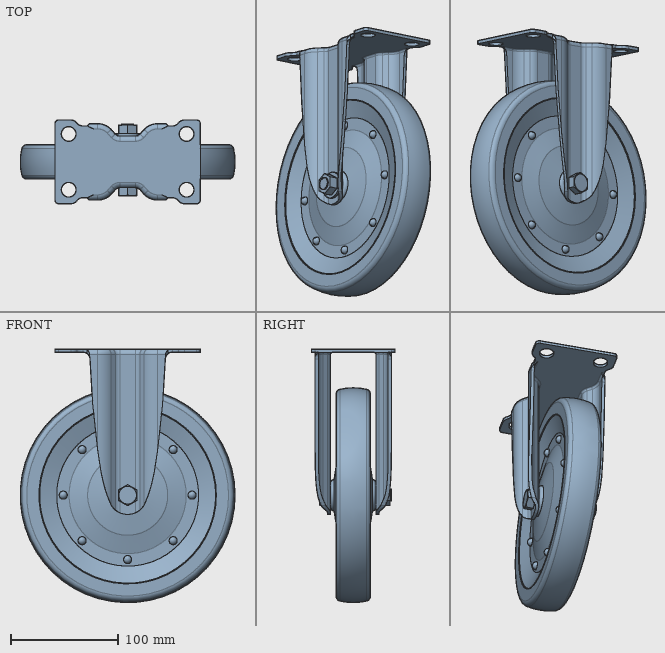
import cadquery as cq
import math


WHEEL_R = 100.0
TREAD_EDGE_R = 98.5
SIDE_R = 93.9
RIM_R = 82.5
RIM_LAND = 0.7
WEB_OUTER_R = 66.0
WEB_INNER_R = 54.5
DOME_R = 37.3
HUB_R = 14.6
TREAD_EDGE_Y = 12.5
SIDE_Y = 16.0
WEB_Y = 9.7
DOME_Y = 14.5
DOME_TOP_Y = 18.0
RIVET_COUNT = 8
RIVET_CIRCLE_R = 60.0
RIVET_R = 3.8

SHEET = 3.0
OVERALL_HEIGHT = 235.9
TOP_Z = OVERALL_HEIGHT - WHEEL_R
PLATE_LENGTH = 135.5
PLATE_WIDTH = 78.0
PLATE_CORNER_R = 3.5
HOLE_PITCH_X = 109.7
HOLE_PITCH_Y = 52.0
HOLE_D = 13.5
TAB_CURVE_X = 52.8
NOTCH_OUTER_X = 41.7
NOTCH_INNER_X = 37.7
NOTCH_Y = 33.5
FOLD_END_X = 31.8
NOTCH_TOP_X = 35.4
FOLD_R = 5.0
CHANNEL_Y = 24.0
FLANGE_Y = 35.5
CHANNEL_HALF = 7.0
CHANNEL_BEND_R = 6.0
FLANGE_BEND_R = 17.2
BEND_ANGLE = math.radians(47)
LEG_TOP_HALF = 35.1
LEG_FLARE_R = 6.1
LEG_TIP_R = 18.0
LEG_TIP_Z = -9.7
LEG_EDGE = [(19.0, 0), (28.0, 43.5), (33.3, 94.3)]

AXLE_R = 5.7
HEX_SIDES = 6
HEX_FLATS = 17.0
HEX_CORNER_R = HEX_FLATS / math.sqrt(3)
HEAD_HEIGHT = 7.5
HEAD_FACE_R = 8.3
HEAD_CHAMFER = 0.7
NUT_HEIGHT = 8.0
WASHER_R = 12.3
WASHER_HEIGHT = 2.1
AXLE_TIP = 1.2


def along_y(y):
    """Workplane facing +Y at the given Y; its local X runs along -X."""
    return cq.Workplane("XZ", origin=(0, y, 0)).transformed(rotate=(0, 180, 0))


def make_wheel():
    dy, dr = SIDE_Y - TREAD_EDGE_Y, TREAD_EDGE_R - SIDE_R
    shoulder_r = (dy ** 2 + dr ** 2) / (2 * dy)
    sweep = math.asin(dr / shoulder_r) / 2
    mid_y = SIDE_Y - shoulder_r * (1 - math.cos(sweep))
    mid_r = SIDE_R + shoulder_r * math.sin(sweep)
    hub_y = CHANNEL_Y - SHEET
    hub_round = hub_y - DOME_TOP_Y

    section = (
        cq.Workplane("XY")
        .moveTo(AXLE_R, -hub_y)
        .lineTo(AXLE_R, hub_y)
        .lineTo(HUB_R - hub_round, hub_y)
        .radiusArc((HUB_R, DOME_TOP_Y), hub_round)
        .lineTo(DOME_R, DOME_Y)
        .lineTo(WEB_INNER_R, WEB_Y)
        .lineTo(WEB_OUTER_R, WEB_Y)
        .lineTo(RIM_R - RIM_LAND, SIDE_Y - RIM_LAND)
        .lineTo(RIM_R, SIDE_Y - RIM_LAND)
        .lineTo(RIM_R, SIDE_Y)
        .lineTo(SIDE_R, SIDE_Y)
        .threePointArc((mid_r, mid_y), (TREAD_EDGE_R, TREAD_EDGE_Y))
        .threePointArc((WHEEL_R, 0), (TREAD_EDGE_R, -TREAD_EDGE_Y))
        .threePointArc((mid_r, -mid_y), (SIDE_R, -SIDE_Y))
        .lineTo(RIM_R, -SIDE_Y)
        .lineTo(RIM_R, RIM_LAND - SIDE_Y)
        .lineTo(RIM_R - RIM_LAND, RIM_LAND - SIDE_Y)
        .lineTo(WEB_OUTER_R, -WEB_Y)
        .lineTo(WEB_INNER_R, -WEB_Y)
        .lineTo(DOME_R, -DOME_Y)
        .lineTo(HUB_R, -DOME_TOP_Y)
        .radiusArc((HUB_R - hub_round, -hub_y), hub_round)
        .close()
    )
    wheel = section.revolve(360, (0, 0, 0), (0, 1, 0))

    for i in range(RIVET_COUNT):
        angle = 2 * math.pi * i / RIVET_COUNT
        x, z = RIVET_CIRCLE_R * math.cos(angle), RIVET_CIRCLE_R * math.sin(angle)
        for y in (-WEB_Y, WEB_Y):
            wheel = wheel.union(cq.Workplane("XY").sphere(RIVET_R).translate((x, y, z)))
    return wheel


def hood(inset):
    """Block with the pressed leg section as its long sides, its upper long edges rounded."""
    sin_a, cos_a = math.sin(BEND_ANGLE), math.cos(BEND_ANGLE)
    channel_r, flange_r = CHANNEL_BEND_R + inset, FLANGE_BEND_R - inset
    slant_rise = FLANGE_Y - CHANNEL_Y - (CHANNEL_BEND_R + FLANGE_BEND_R) * (1 - cos_a)
    channel_x, channel_y = CHANNEL_HALF, CHANNEL_Y + CHANNEL_BEND_R
    flange_x = channel_x + (CHANNEL_BEND_R + FLANGE_BEND_R) * sin_a + slant_rise / math.tan(BEND_ANGLE)
    flange_y = FLANGE_Y - FLANGE_BEND_R
    end_x, bottom_z = PLATE_LENGTH / 2, -LEG_TIP_R
    block = (
        cq.Workplane("XY", origin=(0, 0, bottom_z))
        .moveTo(0, 0)
        .lineTo(0, CHANNEL_Y - inset)
        .lineTo(channel_x, CHANNEL_Y - inset)
        .radiusArc((channel_x + channel_r * sin_a, channel_y - channel_r * cos_a), -channel_r)
        .lineTo(flange_x - flange_r * sin_a, flange_y + flange_r * cos_a)
        .radiusArc((flange_x, FLANGE_Y - inset), flange_r)
        .lineTo(end_x, FLANGE_Y - inset)
        .lineTo(end_x, 0)
        .close()
        .extrude(TOP_Z - inset - bottom_z)
    )
    block = block.union(block.mirror("YZ"))
    block = block.union(block.mirror("XZ")).clean()
    return block.faces(">Z").edges("not |Y").fillet(FOLD_R - inset)


def leg_silhouette():
    """Prism along Y bounding both legs as seen from the side of the wheel."""
    plate_z = TOP_Z - SHEET
    tip_x = math.sqrt(LEG_TIP_R ** 2 - LEG_TIP_Z ** 2)
    flare_z = plate_z - LEG_FLARE_R
    half = (
        cq.Workplane("XZ", origin=(0, PLATE_WIDTH, 0))
        .moveTo(0, -LEG_TIP_R)
        .radiusArc((tip_x, LEG_TIP_Z), -LEG_TIP_R)
        .spline(LEG_EDGE + [(LEG_TOP_HALF, flare_z)], includeCurrent=True)
        .radiusArc((LEG_TOP_HALF + LEG_FLARE_R, plate_z), LEG_FLARE_R)
        .lineTo(LEG_TOP_HALF + LEG_FLARE_R, TOP_Z)
        .lineTo(0, TOP_Z)
        .close()
        .extrude(2 * PLATE_WIDTH)
    )
    return half.union(half.mirror("YZ"))


def notch_plan():
    """Prism along Z bounding the legs and the plate between the notches."""
    side = (
        cq.Workplane("XY", origin=(0, 0, -LEG_TIP_R))
        .polyline([
            (-NOTCH_TOP_X, FLANGE_Y), (NOTCH_TOP_X, FLANGE_Y), (NOTCH_INNER_X, NOTCH_Y),
            (NOTCH_OUTER_X, NOTCH_Y), (NOTCH_OUTER_X, 0), (-NOTCH_OUTER_X, 0),
            (-NOTCH_OUTER_X, NOTCH_Y), (-NOTCH_INNER_X, NOTCH_Y),
        ])
        .close()
        .extrude(TOP_Z + LEG_TIP_R)
    )
    return side.union(side.mirror("XZ"))


def plate_tab():
    """End of the mounting plate on the +X side, outside the legs."""
    half_width, end_x = PLATE_WIDTH / 2, PLATE_LENGTH / 2
    mid_x, mid_y = (NOTCH_OUTER_X + TAB_CURVE_X) / 2, (NOTCH_Y + half_width) / 2
    half = (
        cq.Workplane("XY", origin=(0, 0, TOP_Z - SHEET))
        .moveTo(FOLD_END_X, 0)
        .lineTo(FOLD_END_X, FLANGE_Y - FOLD_R)
        .lineTo(NOTCH_INNER_X, NOTCH_Y)
        .lineTo(NOTCH_OUTER_X, NOTCH_Y)
        .tangentArcPoint((mid_x, mid_y), relative=False)
        .tangentArcPoint((TAB_CURVE_X, half_width), relative=False)
        .lineTo(end_x, half_width)
        .lineTo(end_x, 0)
        .close()
        .extrude(SHEET)
    )
    return half.union(half.mirror("XZ")).edges("|Z and >X").fillet(PLATE_CORNER_R)


def make_bracket(axle):
    shell = hood(0).cut(hood(SHEET))
    bracket = shell.intersect(leg_silhouette()).intersect(notch_plan())
    tab = plate_tab()
    bracket = bracket.union(tab).union(tab.mirror("YZ"))
    plate_holes = (
        cq.Workplane("XY", origin=(0, 0, TOP_Z - SHEET))
        .rarray(HOLE_PITCH_X, HOLE_PITCH_Y, 2, 2)
        .circle(HOLE_D / 2)
        .extrude(SHEET)
    )
    return bracket.cut(plate_holes).cut(axle)


def hexagon(y, height):
    """Hexagonal prism along Y with corners pointing up and down."""
    angles = [2 * math.pi * i / HEX_SIDES for i in range(HEX_SIDES)]
    corners = [(HEX_CORNER_R * math.sin(a), HEX_CORNER_R * math.cos(a)) for a in angles]
    return along_y(y).polyline(corners).close().extrude(height)


def make_axle():
    washer_y = CHANNEL_Y
    nut_y = washer_y + WASHER_HEIGHT
    tip_y = nut_y + NUT_HEIGHT + AXLE_TIP
    shaft = along_y(-CHANNEL_Y).circle(AXLE_R).extrude(CHANNEL_Y + tip_y)
    washer = along_y(washer_y).circle(WASHER_R).extrude(WASHER_HEIGHT)
    head_y = -CHANNEL_Y - HEAD_HEIGHT
    head_round = (
        along_y(head_y)
        .circle(HEX_CORNER_R)
        .extrude(HEAD_HEIGHT)
        .faces("<Y")
        .chamfer(HEAD_CHAMFER, HEX_CORNER_R - HEAD_FACE_R)
    )
    head = hexagon(head_y, HEAD_HEIGHT).intersect(head_round)
    nut = hexagon(nut_y, NUT_HEIGHT)
    return shaft.union(head).union(washer).union(nut)


axle = make_axle()
bracket = make_bracket(axle)
wheel = make_wheel()

result = cq.Compound.makeCompound([body.solids().val() for body in (bracket, wheel, axle)])